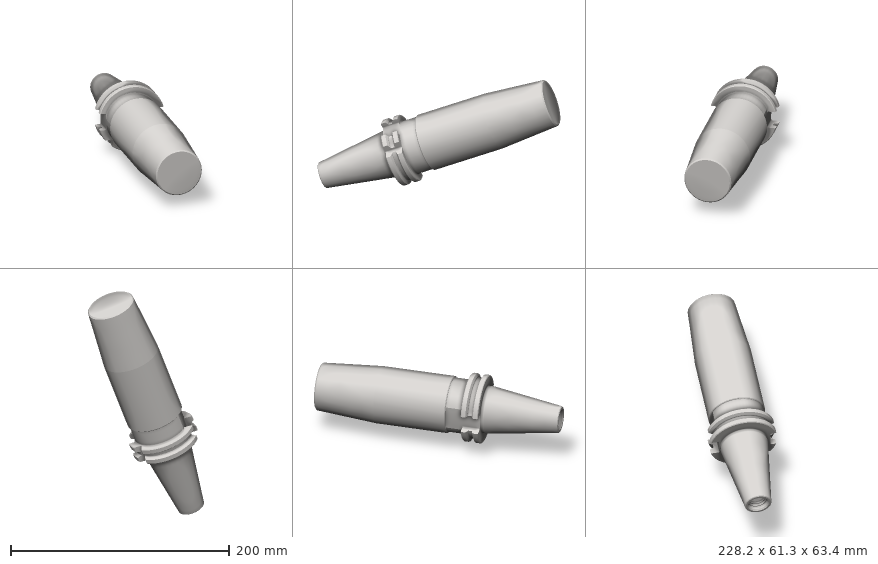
import cadquery as cq
import math

total_length = 228.2
taper_end = 67.5
relief_start = 69.2
flange_front = 71.0
flange_back = 87.2
body_front = 103.2
nose_start = 170.7

taper_radius = 22.1
taper_ratio = 7 / 24 / 2
tip_chamfer = 0.7
relief_radius = 21.7
relief_fillet = 0.7

flange_radius = 31.7
flange_chamfer = 0.7
groove_center = 79.2
groove_floor_radius = 28.0
groove_floor_width = 4.0
groove_corner_radius = 0.7
groove_mouth_width = 7.0
groove_wall_angle = 60.0

neck_radius = 25.0
neck_front_fillet = 1.0
neck_back_fillet = 0.5
body_radius = 26.5
body_chamfer = 0.7
nose_radius = 22.1
nose_chamfer = 1.1

slot_width = 16.2
slot_corner_radius = 1.4
deep_floor = 22.5
neck_flat_depth = 0.11
shallow_floor = neck_radius - neck_flat_depth

notch_y = 18.5
notch_z = 18.3

countersink_radius = 9.8
countersink_depth = 1.48
outer_bore_radius = 9.0
outer_bore_depth = 4.5
inner_bore_radius = 8.2
inner_bore_depth = 6.8
relief_bore_radius = 7.5
relief_bore_depth = 8.2
thread_radius = 6.8
bore_depth = 41.0
drill_point_half_angle = 59.0

flange_width = flange_back - flange_front
cutter_reach = 2 * flange_radius


def turned_body():
    """Outer shape of the holder, revolved about X."""
    tip_radius = taper_radius - taper_ratio * (taper_end - tip_chamfer)
    corner = groove_corner_radius
    half_mouth = groove_mouth_width / 2
    half_floor = groove_floor_width / 2
    wall_depth = (half_mouth - half_floor) * math.tan(math.radians(groove_wall_angle))
    wall_foot_radius = flange_radius - wall_depth
    profile = (
        cq.Workplane("XY")
        .moveTo(0, 0)
        .lineTo(0, tip_radius - tip_chamfer)
        .lineTo(tip_chamfer, tip_radius)
        .lineTo(taper_end, taper_radius)
        .lineTo(relief_start, relief_radius)
        .lineTo(flange_front - relief_fillet, relief_radius)
        .radiusArc((flange_front, relief_radius + relief_fillet), -relief_fillet)
        .lineTo(flange_front, flange_radius - flange_chamfer)
        .lineTo(flange_front + flange_chamfer, flange_radius)
        .lineTo(groove_center - half_mouth, flange_radius)
        .lineTo(groove_center - half_floor, wall_foot_radius)
        .lineTo(groove_center - half_floor, groove_floor_radius + corner)
        .radiusArc((groove_center - half_floor + corner, groove_floor_radius), -corner)
        .lineTo(groove_center + half_floor - corner, groove_floor_radius)
        .radiusArc((groove_center + half_floor, groove_floor_radius + corner), -corner)
        .lineTo(groove_center + half_floor, wall_foot_radius)
        .lineTo(groove_center + half_mouth, flange_radius)
        .lineTo(flange_back - flange_chamfer, flange_radius)
        .lineTo(flange_back, flange_radius - flange_chamfer)
        .lineTo(flange_back, neck_radius + neck_front_fillet)
        .radiusArc((flange_back + neck_front_fillet, neck_radius), -neck_front_fillet)
        .lineTo(body_front - neck_back_fillet, neck_radius)
        .radiusArc((body_front, neck_radius + neck_back_fillet), -neck_back_fillet)
        .lineTo(body_front, body_radius - body_chamfer)
        .lineTo(body_front + body_chamfer, body_radius)
        .lineTo(nose_start, body_radius)
        .lineTo(total_length - nose_chamfer, nose_radius)
        .lineTo(total_length, nose_radius - nose_chamfer)
        .lineTo(total_length, 0)
        .close()
    )
    return profile.revolve(360, (0, 0, 0), (1, 0, 0))


def pull_stud_bore():
    """Countersunk, stepped blind bore with a drill point, opening at the taper tip."""
    thread_start = relief_bore_depth + relief_bore_radius - thread_radius
    point_length = thread_radius / math.tan(math.radians(drill_point_half_angle))
    profile = (
        cq.Workplane("XY")
        .moveTo(0, 0)
        .lineTo(0, countersink_radius)
        .lineTo(countersink_depth, outer_bore_radius)
        .lineTo(outer_bore_depth, outer_bore_radius)
        .lineTo(outer_bore_depth, inner_bore_radius)
        .lineTo(inner_bore_depth, inner_bore_radius)
        .lineTo(inner_bore_depth, relief_bore_radius)
        .lineTo(relief_bore_depth, relief_bore_radius)
        .lineTo(thread_start, thread_radius)
        .lineTo(bore_depth, thread_radius)
        .lineTo(bore_depth + point_length, 0)
        .close()
    )
    return profile.revolve(360, (0, 0, 0), (1, 0, 0))


def drive_slot(side, floor):
    """Cutter for one drive slot; side is +1 for +Y and -1 for -Y."""
    cutter = (
        cq.Workplane("XY")
        .box(flange_width, cutter_reach, slot_width, centered=(False, False, True))
        .edges("|X").edges("<Y")
        .fillet(slot_corner_radius)
        .translate((flange_front, floor, 0))
    )
    return cutter if side > 0 else cutter.mirror("XZ")


def neck_flat(side, floor):
    """Cutter for the flat that carries a drive slot floor along the neck."""
    cutter = (
        cq.Workplane("XY")
        .box(body_front - flange_back, cutter_reach, cutter_reach, centered=(False, False, True))
        .translate((flange_back, floor, 0))
    )
    return cutter if side > 0 else cutter.mirror("XZ")


def orientation_notch():
    """Corner cutter with a rounded inner edge."""
    return (
        cq.Workplane("XY")
        .box(flange_width, cutter_reach, cutter_reach, centered=False)
        .edges("|X").edges("<Y").edges("<Z")
        .fillet(slot_corner_radius)
        .rotate((0, 0, 0), (1, 0, 0), 180)
        .translate((flange_front, -notch_y, -notch_z))
    )


result = turned_body().cut(pull_stud_bore()).cut(orientation_notch())
for side, floor in ((1, deep_floor), (-1, shallow_floor)):
    result = result.cut(drive_slot(side, floor)).cut(neck_flat(side, floor))